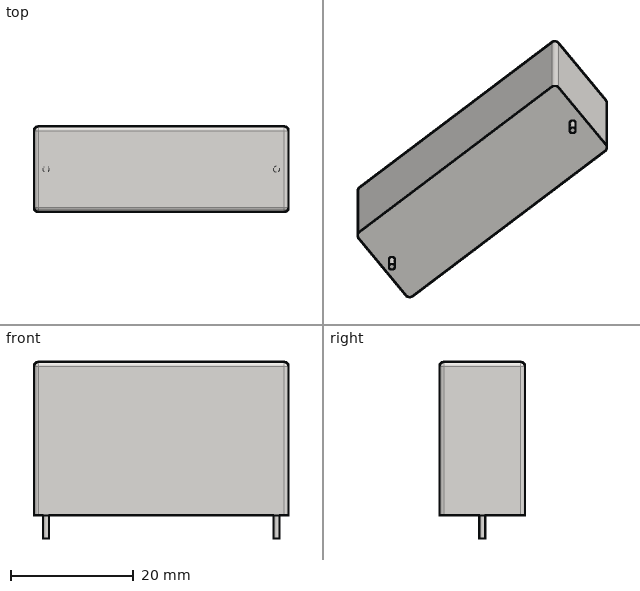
import cadquery as cq

case_length = 41.5
case_width = 14.0
total_height = 28.8
pin_length = 3.78
case_height = total_height - pin_length
edge_radius = 0.8

pin_diameter = 1.0
pin_pitch = 37.5


def make_case():
    """Block with its base on Z = 0; all edges rounded except those of the flat base."""
    block = cq.Workplane("XY").box(case_length, case_width, case_height, centered=(True, True, False))
    return block.edges("|Z or >Z").fillet(edge_radius)


def make_pin(x):
    """Round pin that hangs from the base of the case."""
    return cq.Workplane("XY").center(x, 0).circle(pin_diameter / 2).extrude(-pin_length)


case = make_case()
pins = [make_pin(side * pin_pitch / 2) for side in (-1, 1)]

result = cq.Compound.makeCompound([case.val(), *[pin.val() for pin in pins]])